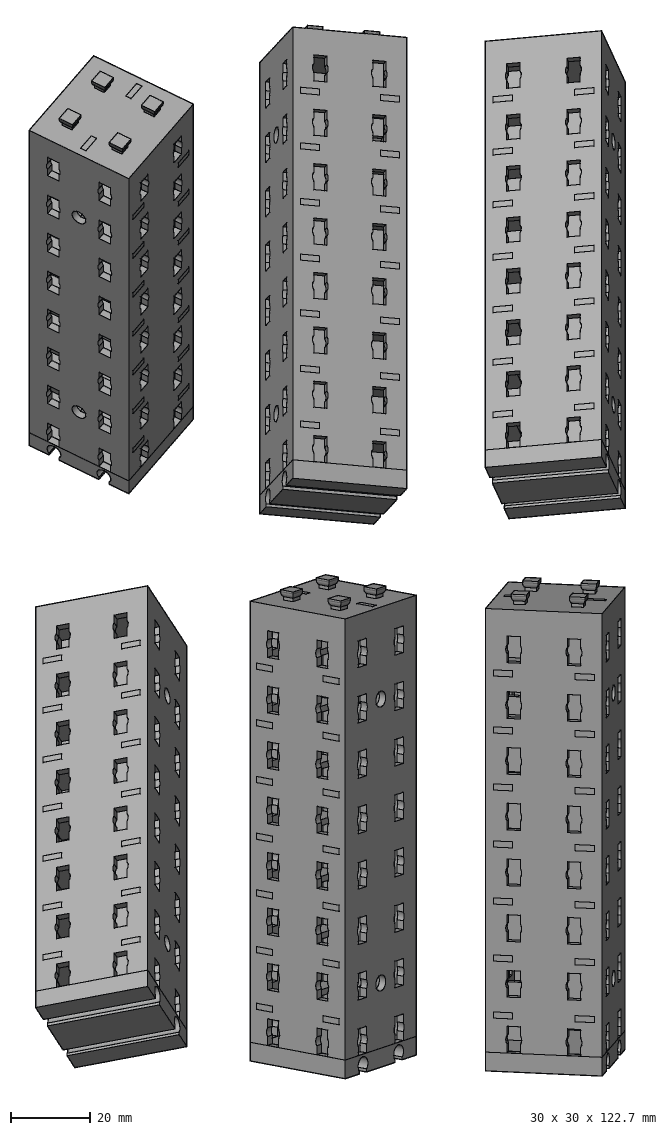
import cadquery as cq
import math

side = 30.0
wall = 2.0
cavity_side = side - 2 * wall
base_height = 5.0
column_top = 120.0
housing_height = column_top - base_height

stud_pitch = 15.0
stud_width = 4.0
stud_height = 2.7
stud_axis_height = 2.2
stud_neck_width = 3.0

groove_pitch = stud_pitch
groove_diameter = 4.1
groove_neck_width = 3.0
groove_axis_z = 2.25
underside_relief = 0.1

slot_row_count = 8
slot_row_pitch = 14.45
slot_column_pitch = 15.5
slot_width = 3.4
slot_height = 6.9
slot_sill_height = 0.05
slot_bulge_diameter = 4.1
lowest_slot_z = base_height + slot_sill_height + slot_height / 2
slot_heights = [lowest_slot_z + row * slot_row_pitch for row in range(slot_row_count)]

hole_diameter = 4.1
lower_hole_z = 22.0
upper_hole_z = 96.0

ladder_depth = 5.0
ladder_middle_y = (cavity_side - ladder_depth) / 2
rail_width = 1.6
rung_height = 1.6
rung_count = 7
rung_pitch = 14.78
lowest_rung_z = 14.7
rung_heights = [lowest_rung_z + rung * rung_pitch for rung in range(rung_count)]


def plane_for(direction):
    """Vertical plane whose extrusion, to both sides of the column axis, runs along X or Y."""
    return cq.Workplane("YZ" if direction == "X" else "XZ")


def cross_holes():
    """Two round bars along Y that cut the housing and the rails of the ladders."""
    centres = [(0, lower_hole_z), (0, upper_hole_z)]
    return plane_for("Y").pushPoints(centres).circle(hole_diameter / 2).extrude(side / 2, both=True)


def slots(direction):
    """Cutting bars for all slots that run through the column in one direction."""
    centres = [(column * slot_column_pitch / 2, z) for column in (-1, 1) for z in slot_heights]
    plane = plane_for(direction).pushPoints(centres)
    rectangles = plane.rect(slot_width, slot_height).extrude(side / 2, both=True)
    bulges = plane.circle(slot_bulge_diameter / 2).extrude(side / 2, both=True)
    return rectangles.union(bulges)


def stud_profile(direction):
    """Half-round profile on a narrower neck, extruded over the stud width."""
    radius = stud_width / 2
    half_neck = stud_neck_width / 2
    neck_top = stud_axis_height - math.sqrt(radius**2 - half_neck**2)
    angle = math.asin(half_neck / radius)
    middle_angle = (angle + math.pi / 2) / 2
    arc_offset = radius * math.sin(middle_angle)
    arc_drop = radius * math.cos(middle_angle)
    return (
        plane_for(direction)
        .moveTo(-half_neck, 0)
        .lineTo(-half_neck, neck_top)
        .threePointArc((-arc_offset, stud_axis_height - arc_drop), (-radius, stud_axis_height))
        .lineTo(-radius, stud_height)
        .lineTo(radius, stud_height)
        .lineTo(radius, stud_axis_height)
        .threePointArc((arc_offset, stud_axis_height - arc_drop), (half_neck, neck_top))
        .lineTo(half_neck, 0)
        .close()
        .extrude(radius, both=True)
    )


def make_ladder(y):
    """Rail on the centre plane with rungs across the column, parted by the cross holes."""
    ladder = (
        cq.Workplane("XY", origin=(0, y, base_height))
        .rect(rail_width, ladder_depth)
        .extrude(housing_height)
    )
    for z in rung_heights:
        ladder = ladder.union(cq.Workplane("XY", origin=(0, y, z)).box(side, ladder_depth, rung_height))
    return ladder.cut(cross_holes())


def make_base():
    """Plate with two keyhole grooves and a relieved underside beside them."""
    base = cq.Workplane("XY").rect(side, side).extrude(base_height)
    relief_width = (side - groove_pitch) / 2
    for sign in (-1, 1):
        groove_x = sign * groove_pitch / 2
        groove = (
            plane_for("Y")
            .center(groove_x, groove_axis_z)
            .circle(groove_diameter / 2)
            .extrude(side / 2, both=True)
        )
        neck = cq.Workplane("XY", origin=(groove_x, 0, 0)).rect(groove_neck_width, side).extrude(groove_axis_z)
        relief_x = sign * (side - relief_width) / 2
        relief = cq.Workplane("XY", origin=(relief_x, 0, 0)).rect(relief_width, side).extrude(underside_relief)
        base = base.cut(groove).cut(neck).cut(relief)
    return base


def make_housing(ladders):
    """Hollow column with slots both ways, cross holes, studs on top and pockets for the ladders."""
    cavity = (
        cq.Workplane("XY", origin=(0, 0, base_height))
        .rect(cavity_side, cavity_side)
        .extrude(housing_height - wall)
    )
    housing = (
        cq.Workplane("XY", origin=(0, 0, base_height))
        .rect(side, side)
        .extrude(housing_height)
        .cut(cavity)
        .cut(slots("X"))
        .cut(slots("Y"))
        .cut(cross_holes())
    )
    stud = stud_profile("X").intersect(stud_profile("Y"))
    for x in (-stud_pitch / 2, stud_pitch / 2):
        for y in (-stud_pitch / 2, stud_pitch / 2):
            housing = housing.union(stud.translate((x, y, column_top)))
    for ladder in ladders:
        housing = housing.cut(ladder)
    return housing


ladders = [make_ladder(y) for y in (-ladder_middle_y, ladder_middle_y)]
housing = make_housing(ladders)
base = make_base()

ladder_pieces = [piece for ladder in ladders for piece in ladder.solids().vals()]
result = cq.Compound.makeCompound([housing.solids().val(), base.solids().val(), *ladder_pieces])